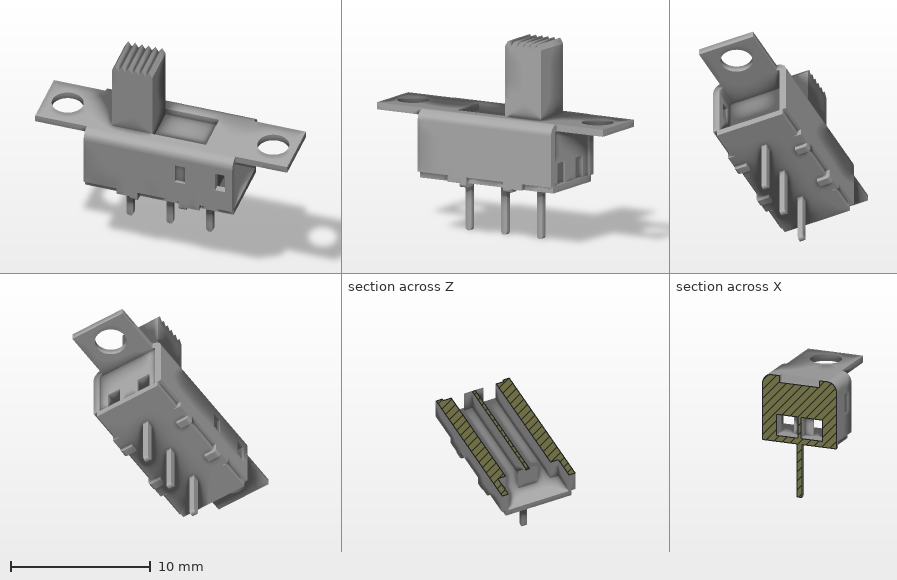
import cadquery as cq


sheet = 0.51
plate_length = 19
plate_width = 4.3
body_length = 11.21
body_width = 5.8
bend_outer_radius = (body_width - plate_width) / 2
bend_inner_radius = bend_outer_radius - sheet
cavity_width = body_width - 2 * sheet
mount_hole_diameter = 2.3
mount_hole_spacing = 15.5

body_height = 5.0
base_thickness = 0.48
base_width = 5.2
base_top = base_thickness - body_height
tab_clearance = 0.05

tab_inner_x = 1.55
tab_outer_x = 3.12
claw_width = 0.55
claw_length = 0.99
claw_drop = 0.3
claw_radius = 0.25

window_width = 0.76
window_height = 1.5
window_centre_z = -2.07
window_centres_x = (1.65, 4.7)
detent_height = 0.25

knob_width = 3.04
knob_left = -3.91
knob_height = 5.5
tooth_count = 6
tooth_pitch = knob_width / tooth_count
tooth_height = 0.4
slot_right = 3.17
slider_left = -5.43
slider_right = 3.8

tunnel_inner_y = 0.76
tunnel_outer_y = 1.77
tunnel_height = 1.55
web_thickness = 0.27
end_wall = 0.1

pin_width = 0.5
pin_thickness = 0.4
pin_length = 4.0
pin_pitch = 3.0
pin_tip_radius = 0.23


def block(x_min, x_max, y_min, y_max, z_min, z_max):
    """Box given by its limits along each axis."""
    size = (x_max - x_min, y_max - y_min, z_max - z_min)
    return cq.Workplane("XY").box(*size, centered=False).translate((x_min, y_min, z_min))


def both_sides(shape):
    """The shape together with its mirror image across the XZ plane."""
    return shape.union(shape.mirror("XZ"))


def arched_block(x_min, x_max, width, z_min, z_max, radius):
    """Block centred on Y with its two upper X-direction edges rounded."""
    body = block(x_min, x_max, -width / 2, width / 2, z_min, z_max)
    return body.edges("|X and >Z").fillet(radius)


def make_tab(side):
    """Front wall tab with its claw; side is -1 for the left tab, 1 for the right."""
    front = -body_width / 2
    claw_bottom = -body_height - claw_drop
    tab_x = sorted((side * tab_inner_x, side * tab_outer_x))
    claw_x = sorted((side * tab_inner_x, side * (tab_inner_x + claw_width)))
    tab = block(*tab_x, front, front + sheet, -body_height, base_top)
    claw = block(*claw_x, front, front + claw_length, claw_bottom, -body_height)
    claw = claw.edges("|X and <Y and <Z").fillet(claw_radius)
    return tab.union(claw)


def make_cover():
    half_body = body_length / 2
    shell = arched_block(-half_body, half_body, body_width, base_top, 0, bend_outer_radius)
    plate = cq.Workplane("XY").box(plate_length, plate_width, sheet, centered=(True, True, False))
    cavity = arched_block(-half_body, half_body, cavity_width, base_top, -sheet, bend_inner_radius)
    cover = shell.cut(cavity).union(plate.translate((0, 0, -sheet)))

    holes = (
        cq.Workplane("XY")
        .pushPoints([(-mount_hole_spacing / 2, 0), (mount_hole_spacing / 2, 0)])
        .circle(mount_hole_diameter / 2)
        .extrude(-sheet)
    )
    slot = block(knob_left, slot_right, -knob_width / 2, knob_width / 2, -sheet, 0)
    cover = cover.cut(holes).cut(slot)

    for x in window_centres_x:
        window = cq.Workplane("XY").box(window_width, sheet, window_height)
        cover = cover.cut(window.translate((x, (sheet - body_width) / 2, window_centre_z)))
    for side in (-1, 1):
        cover = cover.union(both_sides(make_tab(side)))
    return cover


def make_base():
    base = cq.Workplane("XY").box(body_length, base_width, base_thickness)
    base = base.translate((0, 0, base_top - base_thickness / 2))
    notch_depth = (base_width - cavity_width) / 2
    for side in (-1, 1):
        notch_x = sorted((side * (tab_inner_x - tab_clearance), side * (tab_outer_x + tab_clearance)))
        notch = block(*notch_x, -base_width / 2, notch_depth - base_width / 2, -body_height, base_top)
        base = base.cut(both_sides(notch))
    return base


def make_slider():
    body = arched_block(slider_left, slider_right, cavity_width, base_top, -sheet, bend_inner_radius)
    tunnel_z = (base_top, base_top + tunnel_height)
    tunnel = block(slider_left, slider_right, tunnel_inner_y, tunnel_outer_y, *tunnel_z)
    pocket = block(
        slider_left + end_wall,
        slider_right - end_wall,
        web_thickness / 2,
        tunnel_outer_y,
        *tunnel_z,
    )
    body = body.cut(both_sides(tunnel.union(pocket)))

    tooth_root = knob_height - tooth_height
    outline = [(knob_left, -sheet), (knob_left, tooth_root)]
    for i in range(tooth_count):
        outline.append((knob_left + (i + 0.5) * tooth_pitch, knob_height))
        outline.append((knob_left + (i + 1) * tooth_pitch, tooth_root))
    outline.append((knob_left + knob_width, -sheet))
    knob = cq.Workplane("XZ").polyline(outline).close().extrude(knob_width / 2, both=True)

    detent = cq.Workplane("XY").box(window_width, detent_height, window_height)
    detent_y = -(cavity_width + detent_height) / 2
    detent = detent.translate((window_centres_x[0], detent_y, window_centre_z))
    return body.union(knob).union(detent)


def make_pin(x):
    pin = cq.Workplane("XY").box(pin_width, pin_thickness, pin_length)
    pin = pin.edges("|Y and <Z").fillet(pin_tip_radius)
    return pin.translate((x, 0, -body_height - pin_length / 2))


result = make_cover().union(make_base()).union(make_slider())
for pin_x in (-pin_pitch, 0, pin_pitch):
    result = result.union(make_pin(pin_x))